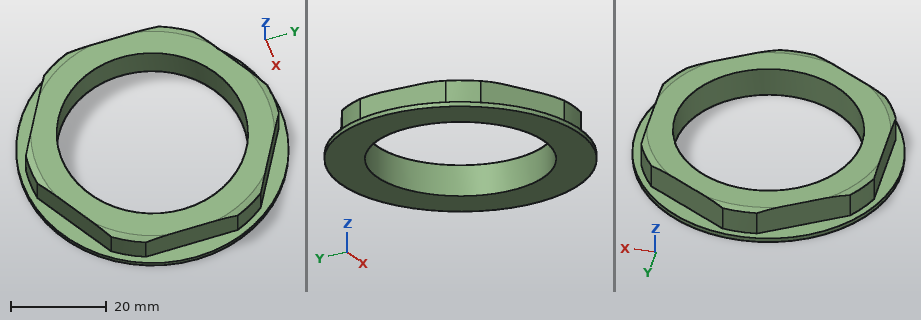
import cadquery as cq
import math

flange_diameter = 57.0
flange_thickness = 1.0
total_height = 7.0
bore_diameter = 40.0
across_flats = 50.0
corner_diameter = 54.0
top_face_diameter = 51.0
crown_height = 0.45
crown_radius = 5.0


def make_hexagon():
    """Hexagonal prism with one pair of flats facing +X and -X."""
    across_corners = across_flats / math.cos(math.pi / 6)
    return (
        cq.Workplane("XY")
        .polygon(6, across_corners)
        .extrude(total_height)
        .rotate((0, 0, 0), (0, 0, 1), 30)
    )


def make_corner_envelope():
    """Turned blank whose crowned rim trims the hexagon corners."""
    corner_radius = corner_diameter / 2
    top_face_radius = top_face_diameter / 2
    return (
        cq.Workplane("XZ")
        .lineTo(0, total_height)
        .lineTo(top_face_radius, total_height)
        .radiusArc((corner_radius, total_height - crown_height), crown_radius)
        .lineTo(corner_radius, 0)
        .close()
        .revolve(360, (0, 0, 0), (0, 1, 0))
    )


flange = cq.Workplane("XY").circle(flange_diameter / 2).extrude(flange_thickness)
nut_body = make_hexagon().intersect(make_corner_envelope())
bore = cq.Workplane("XY").circle(bore_diameter / 2).extrude(total_height)

result = flange.union(nut_body).cut(bore)